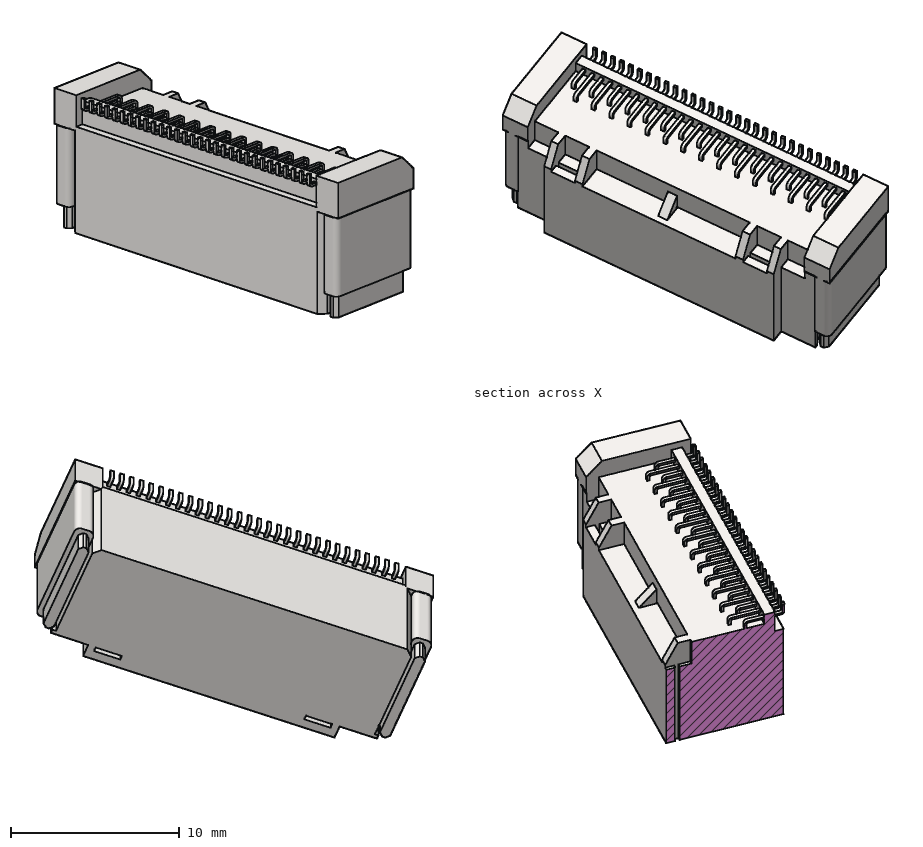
import cadquery as cq


core_half = 10.15
core_back = 6.6
corner_width = 0.4
corner_depth = 0.43
lip_width = 0.23
lip_front = 6.34
floor_z = 7.57
ledge_z = 6.8
shelf_z = 5.85
shelf_y = 5.84
bar_front = 0.55
bar_back = 1.23
bar_z = 8.3

half_length = 11.4
cap_inner = 9.65
cap_bottom = 6.52
cap_top = 8.8
cap_back = 6.63
cap_slope_y = 5.63
cap_slope_z = 7.82

wall_outer = 11.04
wall_inner = 10.37
wall_front = 0.2
wall_back = 6.34
wall_chamfer = 0.23
clip_bottom = 1.5
clip_front = -0.07
clip_outer = 11.35
clip_radius = 0.36

latch_back = 7.43
rib_spans = [(5.34, 5.85), (7.52, 8.0)]
rib_slope_z = 6.06
bridge_front = 6.86
ramp_width = 0.64
ramp_front = 5.9
ramp_back = 7.02

pin_count = 30
pin_pitch = 0.625
pin_width = 0.23
pin_thickness = 0.15
pin_bottom = 7.93
pin_top = 8.75
pin_front = -0.07
pin_tail_long = 3.25
pin_tail_short = 2.49
pin_bend = 0.25


def box(x0, x1, y0, y1, z0, z1):
    """Block between two opposite corners."""
    return cq.Workplane("XY").box(x1 - x0, y1 - y0, z1 - z0, centered=False).translate((x0, y0, z0))


def side_profile(points, x0, x1):
    """Block with the (Y, Z) outline given, running from x0 to x1."""
    return cq.Workplane("YZ").polyline(points).close().extrude(x1 - x0).translate((x0, 0, 0))


def both_ends(solid):
    """The solid together with its mirror image at the other end."""
    return solid.union(solid.mirror("YZ"))


def make_core():
    half_outline = [
        (0, 0),
        (core_half - corner_width, 0),
        (core_half, corner_depth),
        (core_half, lip_front),
        (core_half + lip_width, lip_front),
        (core_half + lip_width, core_back),
        (0, core_back),
    ]
    half = cq.Workplane("XY").polyline(half_outline).close().extrude(cap_bottom)
    upper = side_profile(
        [
            (0, shelf_z),
            (0, ledge_z),
            (bar_front, ledge_z),
            (bar_front, bar_z),
            (bar_back, bar_z),
            (bar_back, floor_z),
            (shelf_y, floor_z),
            (shelf_y, shelf_z),
        ],
        -cap_inner,
        cap_inner,
    )
    shelf_cut = box(-cap_inner, cap_inner, shelf_y, core_back, shelf_z, cap_bottom)
    return both_ends(half).cut(shelf_cut).union(upper)


def make_cap():
    outline = [
        (0, cap_bottom),
        (0, cap_top),
        (cap_slope_y, cap_top),
        (cap_back, cap_slope_z),
        (cap_back, cap_bottom),
    ]
    return side_profile(outline, cap_inner, half_length)


def make_end_wall():
    wall = box(wall_inner, wall_outer, wall_front, wall_back, 0, cap_bottom)
    wall = wall.edges("|Z").chamfer(wall_chamfer)
    clip = box(core_half, clip_outer, clip_front, cap_back, clip_bottom, cap_bottom)
    clip = clip.edges("|Z").fillet(clip_radius)
    return wall.union(clip)


def make_rib(x0, x1):
    outline = [
        (shelf_y, 0),
        (shelf_y, floor_z),
        (cap_back, floor_z),
        (latch_back, rib_slope_z),
        (latch_back, 0),
    ]
    return side_profile(outline, x0, x1)


def make_latch():
    inner_rib, outer_rib = rib_spans
    side = box(inner_rib[1], outer_rib[0], bridge_front, latch_back, 0, shelf_z)
    for x0, x1 in rib_spans:
        side = side.union(make_rib(x0, x1))
    middle = box(-inner_rib[0], inner_rib[0], shelf_y, latch_back, 0, shelf_z)
    ramp_rise = ramp_back - ramp_front
    ramp = side_profile(
        [(ramp_front, shelf_z), (ramp_back, shelf_z), (ramp_front, shelf_z + ramp_rise)],
        -ramp_width / 2,
        ramp_width / 2,
    )
    return both_ends(side).union(middle).union(ramp)


def make_pin(x, tail):
    """Z-shaped contact: front leg bent up, tail bent down into the housing."""
    inner_bend = pin_bend - pin_thickness
    strip_top = pin_bottom + pin_thickness
    outline = (
        cq.Workplane("YZ")
        .moveTo(pin_front, pin_top)
        .lineTo(pin_front, pin_bottom + pin_bend)
        .radiusArc((pin_front + pin_bend, pin_bottom), -pin_bend)
        .lineTo(tail - pin_bend, pin_bottom)
        .radiusArc((tail - pin_thickness, pin_bottom - inner_bend), inner_bend)
        .lineTo(tail - pin_thickness, floor_z)
        .lineTo(tail, floor_z)
        .lineTo(tail, strip_top - pin_bend)
        .radiusArc((tail - pin_bend, strip_top), -pin_bend)
        .lineTo(pin_front + pin_bend, strip_top)
        .radiusArc((pin_front + pin_thickness, strip_top + inner_bend), inner_bend)
        .lineTo(pin_front + pin_thickness, pin_top)
        .close()
    )
    return outline.extrude(pin_width).translate((x - pin_width / 2, 0, 0))


result = make_core().union(both_ends(make_cap().union(make_end_wall()))).union(make_latch())

first_pin_x = -pin_pitch * (pin_count - 1) / 2
for index in range(pin_count):
    tail_end = pin_tail_long if index % 2 == 0 else pin_tail_short
    result = result.union(make_pin(first_pin_x + index * pin_pitch, tail_end))